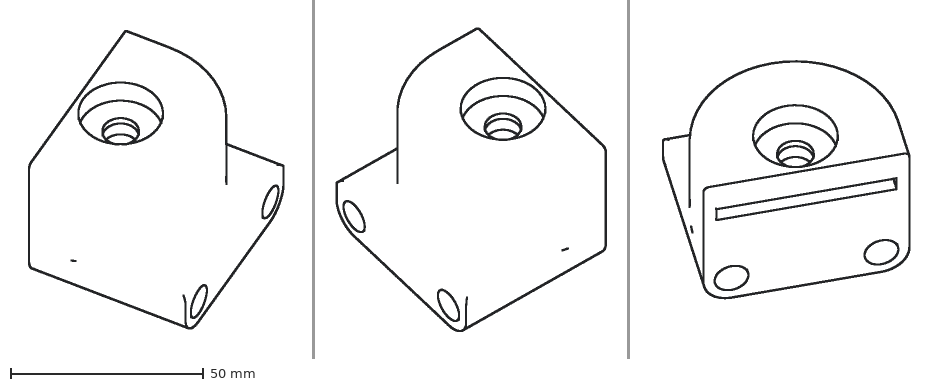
import cadquery as cq

length = 46.0
width = 55.0
height = 43.5
base_height = 15.05
edge_radius = 1.5

axis_x = 12.55
tower_radius = width / 2

corner_radius = 7.5
mount_diameter = 9.0
mount_offset = width / 2 - corner_radius

bore_diameter = 9.5
counterbore_diameter = 22.0
counterbore_depth = 6.9

slot_width = 48.2
slot_bottom = 30.45
slot_height = 4.1


def round_ended_slab(slab_width, bottom, thickness):
    """Slab with a flat end at x = 0 and a half-round end about the bore axis."""
    radius = slab_width / 2
    return (
        cq.Workplane("XY", origin=(0, 0, bottom))
        .moveTo(0, -radius)
        .lineTo(axis_x, -radius)
        .threePointArc((axis_x + radius, 0), (axis_x, radius))
        .lineTo(0, radius)
        .close()
        .extrude(thickness)
    )


def make_body():
    """Base and tower with the outer rounds and the blend between them."""
    base = cq.Workplane("XY").box(length, width, base_height, centered=(False, True, False))
    base = base.edges("|X and <Z").fillet(corner_radius)
    base = base.faces(">Z").edges("not <X").fillet(edge_radius)
    tower = round_ended_slab(width, corner_radius, height - corner_radius)
    tower = tower.edges(">Z and (not <X)").fillet(edge_radius)
    body = base.union(tower)

    foot_point = (axis_x + tower_radius, 0, base_height)
    foot = cq.selectors.NearestToPointSelector(foot_point)
    return body.edges("%CIRCLE").edges(foot).fillet(edge_radius)


def cut_mount_holes(body):
    """Two holes through the whole length of the base."""
    return (
        body.faces("<X")
        .workplane(origin=(0, 0, corner_radius))
        .pushPoints([(-mount_offset, 0), (mount_offset, 0)])
        .hole(mount_diameter)
    )


def cut_bore(body):
    """Counterbored vertical hole through the full height."""
    return (
        body.faces(">Z")
        .workplane(origin=(axis_x, 0, height))
        .cboreHole(bore_diameter, counterbore_diameter, counterbore_depth)
    )


body = cut_bore(cut_mount_holes(make_body()))
result = body.cut(round_ended_slab(slot_width, slot_bottom, slot_height))